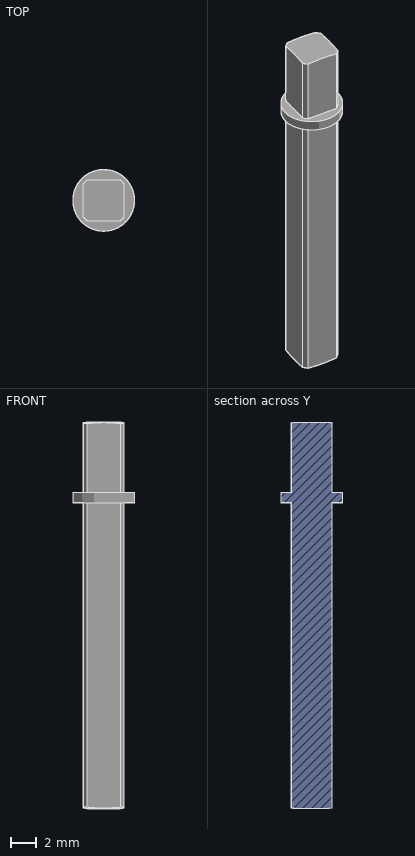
import cadquery as cq
import math

LENGTH = 29.97
SHAFT_WIDTH = 3.18
CORNER_CHAMFER = 0.3

COLLAR_DIAMETER = 4.8
COLLAR_THICKNESS = 0.8
COLLAR_TOP_OFFSET = 5.45

END_FACE_DIAMETER = 2.5
BEVEL_ANGLE = 9.0


def make_shaft():
    """Square bar with chamfered long edges, centred on Z."""
    bar = cq.Workplane("XY").box(SHAFT_WIDTH, SHAFT_WIDTH, LENGTH)
    return bar.edges("|Z").chamfer(CORNER_CHAMFER)


def make_end_envelope():
    """Round body with coned ends that trims the corners of the bar."""
    face_radius = END_FACE_DIAMETER / 2
    outer_radius = SHAFT_WIDTH
    bevel_height = (outer_radius - face_radius) * math.tan(math.radians(BEVEL_ANGLE))
    half = LENGTH / 2
    profile = [
        (0, -half),
        (face_radius, -half),
        (outer_radius, -half + bevel_height),
        (outer_radius, half - bevel_height),
        (face_radius, half),
        (0, half),
    ]
    return cq.Workplane("XZ").polyline(profile).close().revolve(360, (0, 0), (0, 1))


def make_collar():
    """Flat disc around the bar near its top end."""
    bottom = LENGTH / 2 - COLLAR_TOP_OFFSET - COLLAR_THICKNESS
    return cq.Workplane("XY").workplane(offset=bottom).circle(COLLAR_DIAMETER / 2).extrude(COLLAR_THICKNESS)


result = make_shaft().intersect(make_end_envelope()).union(make_collar())